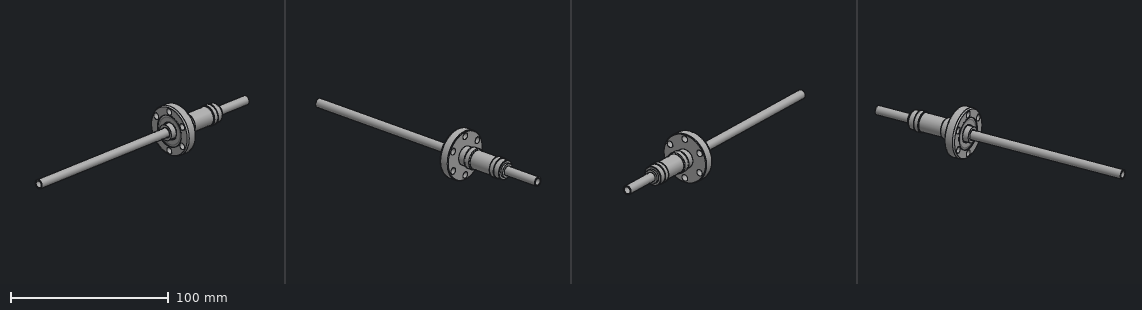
import cadquery as cq
import math


tube_radius = 6.35 / 2
bore_radius = 4.57 / 2
total_length = 184.15
exposed_tube_length = 25.4

flange_radius = 33.78 / 2
flange_thickness = 7.2
front_chamfer_length = 1.2
front_chamfer_width = 0.7
back_chamfer = 0.5
recess_radius = 10.7
knife_radius = 9.25
knife_depth = 0.45
recess_depth = 0.75
bolt_count = 6
bolt_circle_radius = 26.97 / 2
bolt_hole_radius = 4.37 / 2

collar_radius = 5.3
collar_length = 3.3
collar_bore_radius = 3.5
collar_bore_depth = 0.8
groove_radius = 5.95
groove_depth = 1.3

body_radius = 6.4
band_radius = 7.1
flange_band_y = 12.3
flange_band_width = 4.5
flange_band_chamfer = 0.6
cap_band_y = 33.1
cap_band_width = 3.7
cap_band_chamfer = 0.4
cap_radius = 6.55
cap_length = 4.3
cap_chamfer = 0.3
washer_radius = 4.75
washer_length = 1.6

cap_y = cap_band_y + cap_band_width
cap_end_y = cap_y + cap_length
near_end_y = cap_end_y + washer_length + exposed_tube_length - total_length


def cylinder(radius, start_y, length):
    """Solid cylinder about the Y axis from start_y toward +Y."""
    return cq.Workplane("XZ", origin=(0, start_y, 0)).circle(radius).extrude(-length)


def make_bolt_holes():
    holes = cq.Workplane("XZ")
    for index in range(bolt_count):
        angle = math.pi / 2 + index * 2 * math.pi / bolt_count
        x = bolt_circle_radius * math.cos(angle)
        z = bolt_circle_radius * math.sin(angle)
        holes = holes.add(cylinder(bolt_hole_radius, 0, flange_thickness).translate((x, 0, z)))
    return holes.combine()


def make_recess():
    """Sealing recess: a slope up to the knife edge, a flat, and the groove around the collar."""
    return (
        cq.Workplane("XY")
        .lineTo(recess_radius, 0)
        .lineTo(recess_radius, recess_depth)
        .lineTo(knife_radius, knife_depth)
        .lineTo(groove_radius, knife_depth)
        .lineTo(groove_radius, groove_depth)
        .lineTo(0, groove_depth)
        .close()
        .revolve(360, (0, 0, 0), (0, 1, 0))
    )


def make_flange():
    flange = cylinder(flange_radius, 0, flange_thickness)
    flange = flange.faces("<Y").edges().chamfer(front_chamfer_length, front_chamfer_width)
    flange = flange.faces(">Y").edges().chamfer(back_chamfer)
    return flange.cut(make_recess()).cut(make_bolt_holes())


def make_collar():
    collar = cylinder(collar_radius, -collar_length, collar_length + flange_thickness)
    return collar.cut(cylinder(collar_bore_radius, -collar_length, collar_bore_depth))


def make_body():
    core = cylinder(body_radius, flange_thickness, cap_y - flange_thickness)
    cap = cylinder(cap_radius, cap_y, cap_length)
    cap = cap.faces(">Y").edges().chamfer(cap_chamfer)
    flange_band = cylinder(band_radius, flange_band_y, flange_band_width)
    flange_band = flange_band.faces(">Y").edges().chamfer(flange_band_chamfer)
    cap_band = cylinder(band_radius, cap_band_y, cap_band_width)
    cap_band = cap_band.faces("<Y").edges().chamfer(cap_band_chamfer)
    washer = cylinder(washer_radius, cap_end_y, washer_length)
    return core.union(flange_band).union(cap_band).union(cap).union(washer)


tube = cylinder(tube_radius, near_end_y, total_length)
bore = cylinder(bore_radius, near_end_y, total_length)

result = make_flange().union(make_collar()).union(make_body()).union(tube).cut(bore)